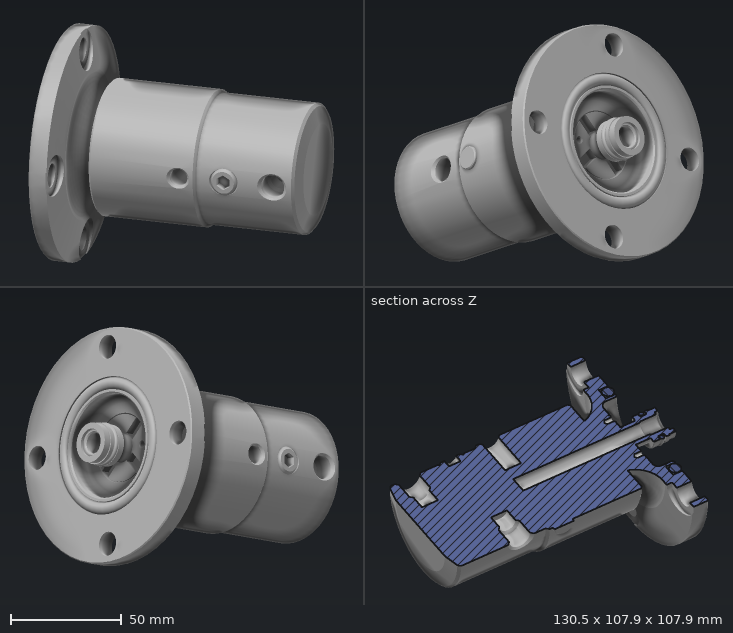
import cadquery as cq
import math

OVERALL_LENGTH = 130.5

FLANGE_DIAMETER = 107.9
FLANGE_FACE_X = 10.7
FLANGE_RIM_END_X = 19.3
FLANGE_EDGE_CHAMFER = 0.5
FLANGE_BACK_SLOPE = math.radians(7)
NECK_DIAMETER = 35.2
NECK_FILLET = 15.0
BOLT_CIRCLE_DIAMETER = 90.3
BOLT_HOLE_DIAMETER = 11.0
BOLT_HOLE_COUNT = 4
SPOTFACE_DIAMETER = 19.0
SPOTFACE_X = 18.8

BARREL_DIAMETER = 62.9
BARREL_START_X = 31.6
BARREL_END_X = 81.3
BARREL_CHAMFER = 1.0
CAP_DIAMETER = 60.2
CAP_END_X = 127.6
CAP_START_X = BARREL_END_X + (BARREL_DIAMETER - CAP_DIAMETER) / 2
CAP_SHOULDER_X = 128.8
CAP_SHOULDER_DIAMETER = 57.4
END_FACE_DIAMETER = 41.8

CAVITY_DIAMETER = 47.6
CAVITY_FLOOR_X = 19.8
CAVITY_FILLET = 3.0
CAVITY_MOUTH_CHAMFER = 0.7

FACE_GROOVE_INNER_DIAMETER = 51.3
FACE_GROOVE_OUTER_DIAMETER = 63.0
FACE_RING_PROTRUSION = 0.9
FACE_RING_SECTION = (FACE_GROOVE_OUTER_DIAMETER - FACE_GROOVE_INNER_DIAMETER) / 2
FACE_GROOVE_DEPTH = FACE_RING_SECTION - FACE_RING_PROTRUSION

NOSE_TIP_DIAMETER = 18.1
NOSE_LAND_DIAMETER = 19.0
NOSE_LAND_START_X = 3.5
NOSE_GROOVE_START_X = 5.6
NOSE_GROOVE_END_X = 8.6
NOSE_LAND_END_X = 12.1
NOSE_BACK_CHAMFER = 0.4
NOSE_NECK_DIAMETER = 13.3
NOSE_RING_DIAMETER = 20.0
NOSE_RING_SECTION = 2.5
NOSE_GROOVE_DIAMETER = NOSE_RING_DIAMETER - 2 * NOSE_RING_SECTION
NOSE_COUNTERBORE_DIAMETER = 12.7
NOSE_COUNTERBORE_DEPTH = 1.6
NOSE_BORE_MOUTH_DIAMETER = 10.7
NOSE_BORE_DIAMETER = 9.5
NOSE_BORE_SHOULDER_X = 10.5
NOSE_INNER_BORE_DIAMETER = 8.4
NOSE_BORE_END_X = 78.3

ROTOR_GROOVE_OUTER_DIAMETER = 32.0
ROTOR_GROOVE_INNER_DIAMETER = 30.9
ROTOR_GROOVE_DEPTH = 0.5
SLOT_WIDTH = 5.2
SLOT_DEPTH = 4.0
SLOT_INNER_RADIUS = 6.5
SLOT_COUNT = 4
DOWEL_HOLE_DIAMETER = 2.5
DOWEL_MOUTH_DIAMETER = 3.5
DOWEL_HOLE_DEPTH = 3.9
DOWEL_POINT_LENGTH = 0.8
DOWEL_OFFSET = 12.7

CORE_DIAMETER = 22.2
DRAIN_X = 74.3
DRAIN_DIAMETER = 8.4
DRAIN_MOUTH_DIAMETER = 10.7
OIL_X = 95.5
AIR_X = 118.5
PORT_MOUTH_DIAMETER = 13.8
PORT_DIAMETER = 11.0
PORT_INNER_DIAMETER = 8.4
PORT_WIDE_DEPTH = 10.5

DRAIN_PLUG_TOP = 32.8
DRAIN_PLUG_DIAMETER = 10.7
DRAIN_PLUG_FACE_DIAMETER = 9.8
OIL_PLUG_TOP = 30.7
OIL_PLUG_DIAMETER = 12.7
OIL_PLUG_FACE_DIAMETER = 10.3
HEX_ACROSS_FLATS = 6.0
HEX_DEPTH = 4.0

FRONT = -1
BACK = 1


def turned(profile):
    """Revolve a closed profile, drawn with X along the axis and Y as radius, about the X axis."""
    return profile.close().revolve(360, (0, 0, 0), (1, 0, 0))


def cylinder_x(diameter, start_x, end_x):
    return cq.Workplane("YZ").workplane(offset=start_x).circle(diameter / 2).extrude(end_x - start_x)


def turned_along_y(points, x, side):
    """Revolve (radius, distance from the X axis) points about a radial axis on the given Y side."""
    profile = cq.Workplane("XY").polyline([(radius, distance) for radius, distance in points]).close()
    pin = profile.revolve(360, (0, 0, 0), (0, 1, 0))
    if side == FRONT:
        pin = pin.rotate((0, 0, 0), (0, 0, 1), 180)
    return pin.translate((x, 0, 0))


def flange_and_barrels():
    flange_radius = FLANGE_DIAMETER / 2
    neck_radius = NECK_DIAMETER / 2
    barrel_radius = BARREL_DIAMETER / 2
    cap_radius = CAP_DIAMETER / 2

    center_radius = neck_radius + NECK_FILLET
    cone_foot_radius = center_radius + NECK_FILLET * math.sin(FLANGE_BACK_SLOPE)
    cone_foot_x = FLANGE_RIM_END_X + (flange_radius - cone_foot_radius) * math.tan(FLANGE_BACK_SLOPE)
    center_x = cone_foot_x + NECK_FILLET * math.cos(FLANGE_BACK_SLOPE)
    end_angle = math.acos((center_x - BARREL_START_X) / NECK_FILLET)
    middle_angle = (end_angle - FLANGE_BACK_SLOPE) / 2

    def fillet_point(angle):
        return (
            center_x - NECK_FILLET * math.cos(angle),
            center_radius - NECK_FILLET * math.sin(angle),
        )

    profile = (
        cq.Workplane("XY")
        .moveTo(FLANGE_FACE_X, 0)
        .lineTo(FLANGE_FACE_X, flange_radius - FLANGE_EDGE_CHAMFER)
        .lineTo(FLANGE_FACE_X + FLANGE_EDGE_CHAMFER, flange_radius)
        .lineTo(FLANGE_RIM_END_X, flange_radius)
        .lineTo(cone_foot_x, cone_foot_radius)
        .threePointArc(fillet_point(middle_angle), fillet_point(end_angle))
        .lineTo(BARREL_START_X, barrel_radius - BARREL_CHAMFER)
        .lineTo(BARREL_START_X + BARREL_CHAMFER, barrel_radius)
        .lineTo(BARREL_END_X, barrel_radius)
        .lineTo(CAP_START_X, cap_radius)
        .lineTo(CAP_END_X, cap_radius)
        .lineTo(CAP_SHOULDER_X, CAP_SHOULDER_DIAMETER / 2)
        .lineTo(OVERALL_LENGTH, END_FACE_DIAMETER / 2)
        .lineTo(OVERALL_LENGTH, 0)
    )
    return turned(profile)


def cavity():
    radius = CAVITY_DIAMETER / 2
    hollow = cylinder_x(CAVITY_DIAMETER, FLANGE_FACE_X, CAVITY_FLOOR_X).faces(">X").edges().fillet(CAVITY_FILLET)
    mouth = turned(
        cq.Workplane("XY")
        .moveTo(FLANGE_FACE_X, 0)
        .lineTo(FLANGE_FACE_X, radius + CAVITY_MOUTH_CHAMFER)
        .lineTo(FLANGE_FACE_X + CAVITY_MOUTH_CHAMFER, radius)
        .lineTo(FLANGE_FACE_X + CAVITY_MOUTH_CHAMFER, 0)
    )
    return hollow.union(mouth)


def face_groove():
    end_x = FLANGE_FACE_X + FACE_GROOVE_DEPTH
    island = cylinder_x(FACE_GROOVE_INNER_DIAMETER, FLANGE_FACE_X, end_x)
    return cylinder_x(FACE_GROOVE_OUTER_DIAMETER, FLANGE_FACE_X, end_x).cut(island)


def rotor_groove():
    """Narrow groove around the rotor face, with an upright inner wall and a sloped outer one."""
    inner_radius = ROTOR_GROOVE_INNER_DIAMETER / 2
    return turned(
        cq.Workplane("XY")
        .moveTo(CAVITY_FLOOR_X, inner_radius)
        .lineTo(CAVITY_FLOOR_X, ROTOR_GROOVE_OUTER_DIAMETER / 2)
        .lineTo(CAVITY_FLOOR_X + ROTOR_GROOVE_DEPTH, inner_radius)
    )


def flange_hole_pattern(diameter, start_x, end_x):
    return (
        cq.Workplane("YZ")
        .workplane(offset=start_x)
        .polarArray(BOLT_CIRCLE_DIAMETER / 2, 0, 360, BOLT_HOLE_COUNT)
        .circle(diameter / 2)
        .extrude(end_x - start_x)
    )


def bolt_holes():
    holes = flange_hole_pattern(BOLT_HOLE_DIAMETER, FLANGE_FACE_X, BARREL_START_X)
    return holes.union(flange_hole_pattern(SPOTFACE_DIAMETER, SPOTFACE_X, BARREL_START_X))


def nose():
    land_radius = NOSE_LAND_DIAMETER / 2
    groove_radius = NOSE_GROOVE_DIAMETER / 2
    neck_radius = NOSE_NECK_DIAMETER / 2
    return turned(
        cq.Workplane("XY")
        .moveTo(0, 0)
        .lineTo(0, NOSE_TIP_DIAMETER / 2)
        .lineTo(NOSE_LAND_START_X, NOSE_TIP_DIAMETER / 2)
        .lineTo(NOSE_LAND_START_X, land_radius)
        .lineTo(NOSE_GROOVE_START_X, land_radius)
        .lineTo(NOSE_GROOVE_START_X, groove_radius)
        .lineTo(NOSE_GROOVE_END_X, groove_radius)
        .lineTo(NOSE_GROOVE_END_X, land_radius)
        .lineTo(NOSE_LAND_END_X - NOSE_BACK_CHAMFER, land_radius)
        .lineTo(NOSE_LAND_END_X, land_radius - NOSE_BACK_CHAMFER)
        .lineTo(NOSE_LAND_END_X, neck_radius)
        .lineTo(CAVITY_FLOOR_X, neck_radius)
        .lineTo(CAVITY_FLOOR_X, 0)
    )


def nose_bore():
    mouth_radius = NOSE_BORE_MOUTH_DIAMETER / 2
    bore_radius = NOSE_BORE_DIAMETER / 2
    inner_radius = NOSE_INNER_BORE_DIAMETER / 2
    return turned(
        cq.Workplane("XY")
        .moveTo(0, 0)
        .lineTo(0, NOSE_COUNTERBORE_DIAMETER / 2)
        .lineTo(NOSE_COUNTERBORE_DEPTH, NOSE_COUNTERBORE_DIAMETER / 2)
        .lineTo(NOSE_COUNTERBORE_DEPTH, mouth_radius)
        .lineTo(NOSE_COUNTERBORE_DEPTH + mouth_radius - bore_radius, bore_radius)
        .lineTo(NOSE_BORE_SHOULDER_X, bore_radius)
        .lineTo(NOSE_BORE_SHOULDER_X + bore_radius - inner_radius, inner_radius)
        .lineTo(NOSE_BORE_END_X, inner_radius)
        .lineTo(NOSE_BORE_END_X, 0)
    )


def rotor_slots():
    slot_length = ROTOR_GROOVE_INNER_DIAMETER / 2 - SLOT_INNER_RADIUS
    slot = cq.Workplane("XY").box(SLOT_DEPTH, slot_length, SLOT_WIDTH, centered=(False, False, True))
    slot = slot.translate((CAVITY_FLOOR_X, SLOT_INNER_RADIUS, 0))
    spacing = 360 / SLOT_COUNT
    slots = cq.Workplane("XY")
    for index in range(SLOT_COUNT):
        slots = slots.union(slot.rotate((0, 0, 0), (1, 0, 0), spacing * (index + 0.5)))
    return slots


def dowel_holes():
    hole_radius = DOWEL_HOLE_DIAMETER / 2
    mouth_radius = DOWEL_MOUTH_DIAMETER / 2
    hole = turned(
        cq.Workplane("XY")
        .moveTo(CAVITY_FLOOR_X, 0)
        .lineTo(CAVITY_FLOOR_X, mouth_radius)
        .lineTo(CAVITY_FLOOR_X + mouth_radius - hole_radius, hole_radius)
        .lineTo(CAVITY_FLOOR_X + DOWEL_HOLE_DEPTH, hole_radius)
        .lineTo(CAVITY_FLOOR_X + DOWEL_HOLE_DEPTH + DOWEL_POINT_LENGTH, 0)
    )
    return hole.translate((0, DOWEL_OFFSET, 0)).union(hole.translate((0, -DOWEL_OFFSET, 0)))


def drain_port(side):
    surface = BARREL_DIAMETER / 2
    mouth_radius = DRAIN_MOUTH_DIAMETER / 2
    radius = DRAIN_DIAMETER / 2
    points = [
        (0, 0),
        (radius, 0),
        (radius, surface - (mouth_radius - radius)),
        (mouth_radius, surface),
        (0, surface),
    ]
    return turned_along_y(points, DRAIN_X, side)


def stepped_port(x, side):
    surface = CAP_DIAMETER / 2
    mouth_radius = PORT_MOUTH_DIAMETER / 2
    wide_radius = PORT_DIAMETER / 2
    narrow_radius = PORT_INNER_DIAMETER / 2
    wide_bottom = surface - PORT_WIDE_DEPTH
    points = [
        (0, 0),
        (narrow_radius, 0),
        (narrow_radius, wide_bottom - (wide_radius - narrow_radius)),
        (wide_radius, wide_bottom),
        (wide_radius, surface - (mouth_radius - wide_radius)),
        (mouth_radius, surface),
        (0, surface),
    ]
    return turned_along_y(points, x, side)


def plug(x, side, diameter, face_diameter, top):
    radius = diameter / 2
    face_radius = face_diameter / 2
    points = [
        (0, 0),
        (radius, 0),
        (radius, top - (radius - face_radius)),
        (face_radius, top),
        (0, top),
    ]
    return turned_along_y(points, x, side)


def hex_socket():
    across_corners = HEX_ACROSS_FLATS / math.cos(math.pi / 6)
    return (
        cq.Workplane("XZ", origin=(OIL_X, -OIL_PLUG_TOP, 0))
        .polygon(6, across_corners)
        .extrude(-HEX_DEPTH)
        .rotate((OIL_X, 0, 0), (OIL_X, 1, 0), 90)
    )


def make_housing():
    ports = drain_port(FRONT).union(stepped_port(AIR_X, FRONT)).union(stepped_port(OIL_X, BACK))
    ports = ports.union(drain_port(BACK)).union(stepped_port(OIL_X, FRONT))
    core = cylinder_x(CORE_DIAMETER, CAVITY_FLOOR_X, OVERALL_LENGTH)
    oil_plug = plug(OIL_X, FRONT, OIL_PLUG_DIAMETER, OIL_PLUG_FACE_DIAMETER, OIL_PLUG_TOP).cut(hex_socket())
    drain_plug = plug(DRAIN_X, BACK, DRAIN_PLUG_DIAMETER, DRAIN_PLUG_FACE_DIAMETER, DRAIN_PLUG_TOP)
    return (
        flange_and_barrels()
        .cut(cavity())
        .cut(face_groove())
        .cut(bolt_holes())
        .cut(rotor_groove())
        .cut(rotor_slots())
        .cut(dowel_holes())
        .cut(ports.cut(core))
        .union(oil_plug)
        .union(drain_plug)
        .union(nose())
        .cut(nose_bore())
    )


def o_ring(center_diameter, section_diameter, center_x):
    return (
        cq.Workplane("XY")
        .center(center_x, center_diameter / 2)
        .circle(section_diameter / 2)
        .revolve(360, (-center_x, -center_diameter / 2, 0), (1.3 - center_x, -center_diameter / 2, 0))
    )


housing = make_housing()
face_o_ring = o_ring(
    (FACE_GROOVE_OUTER_DIAMETER + FACE_GROOVE_INNER_DIAMETER) / 2,
    FACE_RING_SECTION,
    FLANGE_FACE_X + FACE_GROOVE_DEPTH - FACE_RING_SECTION / 2,
)
nose_o_ring = o_ring(
    NOSE_RING_DIAMETER - NOSE_RING_SECTION,
    NOSE_RING_SECTION,
    NOSE_GROOVE_END_X - NOSE_RING_SECTION / 2,
)

result = cq.Compound.makeCompound([housing.val(), face_o_ring.val(), nose_o_ring.val()])